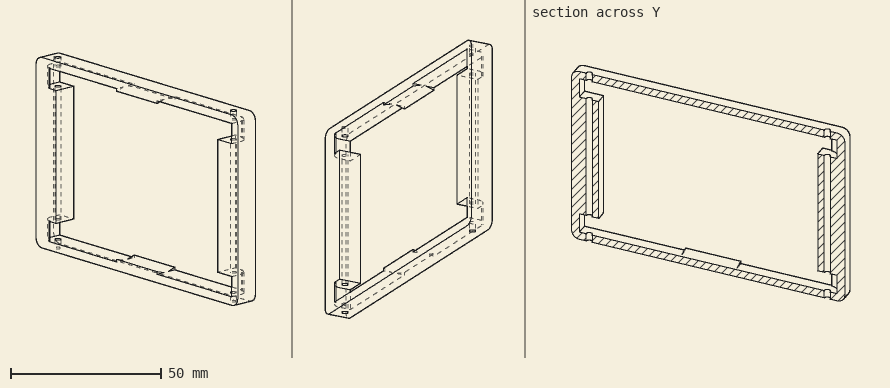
import cadquery as cq

length = 100.0
thickness = 8.0
height = 66.0
wall = 3.0
corner_radius = 3.0

post_inner_x = 40.0
post_height = 46.0

pin_diameter = 2.1
hinge_radius = 3.5
hinge_x = length / 2 - wall - hinge_radius

ridge_length = 20.2
ridge_height = 0.9
ridge_base = 3.0

opening_top = height / 2 - wall
half_thickness = thickness / 2


def box_between(x_min, x_max, z_min, z_max):
    """Full-thickness block spanning the given X and Z ranges."""
    return cq.Workplane("XY").box(x_max - x_min, thickness, z_max - z_min).translate(
        ((x_min + x_max) / 2, 0, (z_min + z_max) / 2)
    )


def hinge_pocket(z_min, z_max):
    """Pocket on the +X side, open to the front and rounded about the pin."""
    return (
        cq.Workplane("XY", origin=(0, 0, z_min))
        .moveTo(0, -half_thickness)
        .lineTo(hinge_x + hinge_radius, -half_thickness)
        .lineTo(hinge_x + hinge_radius, 0)
        .radiusArc((hinge_x, hinge_radius), -hinge_radius)
        .lineTo(hinge_x, half_thickness)
        .lineTo(0, half_thickness)
        .close()
        .extrude(z_max - z_min)
    )


def snap_ridge():
    """Ridge on the bottom rail: a wedge highest at the front edge."""
    return (
        cq.Workplane("YZ", origin=(-ridge_length / 2, 0, 0))
        .moveTo(-half_thickness, -opening_top)
        .lineTo(-half_thickness, -opening_top + ridge_height)
        .lineTo(-half_thickness + ridge_base, -opening_top)
        .close()
        .extrude(ridge_length)
    )


frame = cq.Workplane("XY").box(length, thickness, height).edges("|Y").fillet(corner_radius)
frame = frame.cut(box_between(-post_inner_x, post_inner_x, -opening_top, opening_top))

for z_min, z_max in ((-opening_top, -post_height / 2), (post_height / 2, opening_top)):
    pocket = hinge_pocket(z_min, z_max)
    frame = frame.cut(pocket)
    frame = frame.cut(pocket.rotate((0, 0, 0), (0, 0, 1), 180))

pins = (
    cq.Workplane("XY", origin=(0, 0, -height / 2))
    .pushPoints([(-hinge_x, 0), (hinge_x, 0)])
    .circle(pin_diameter / 2)
    .extrude(height)
)
frame = frame.cut(pins)

front_ridge = snap_ridge()
for ridge in (front_ridge, front_ridge.mirror("XZ")):
    frame = frame.union(ridge).union(ridge.mirror("XY"))

result = frame